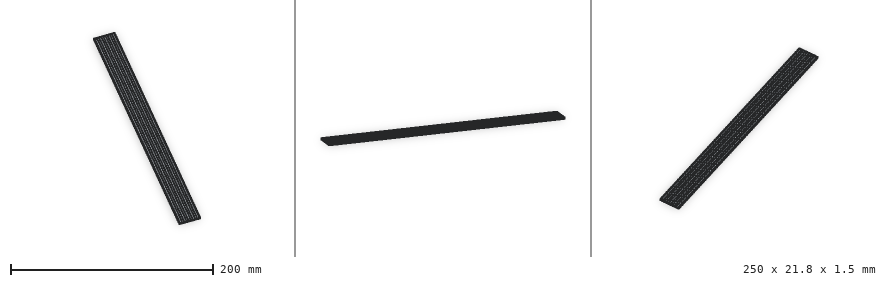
import cadquery as cq

length = 250.0
width = 21.8
thickness = 1.5

groove_count = 5
groove_pitch = 4.5
groove_width = 2.4
wall_depth = 0.1
floor_sag = 0.05


def build_strip():
    """Plain flat strip centred on the origin."""
    return cq.Workplane("XY").box(length, width, thickness)


def build_groove(center_y):
    """Full-length cutter for one groove: upright walls and a slightly dished floor."""
    top = thickness / 2
    wall_foot = top - wall_depth
    left = center_y - groove_width / 2
    right = center_y + groove_width / 2
    return (
        cq.Workplane("YZ", origin=(-length / 2, 0, 0))
        .moveTo(left, top)
        .lineTo(left, wall_foot)
        .threePointArc((center_y, wall_foot - floor_sag), (right, wall_foot))
        .lineTo(right, top)
        .close()
        .extrude(length)
    )


result = build_strip()
for index in range(groove_count):
    offset = index - (groove_count - 1) / 2
    result = result.cut(build_groove(offset * groove_pitch))